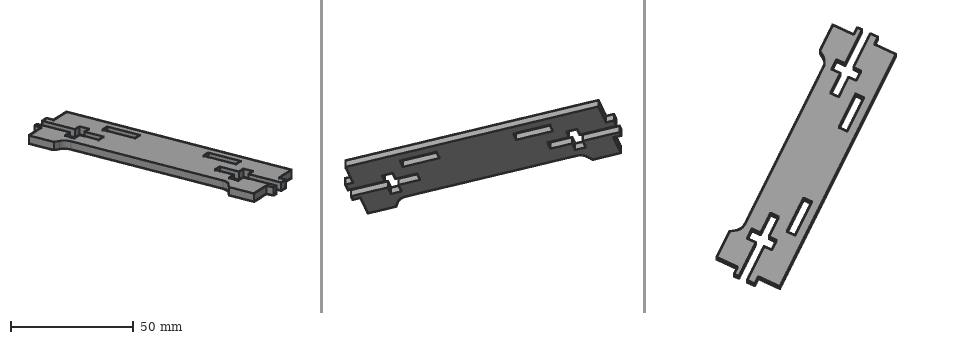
import cadquery as cq
import math

overall_length = 116.1
width = 28.7
thickness = 3.7
body_length = 109.3
top_y = width / 2
bottom_y = -width / 2

tab_top_y = top_y - 9.8
tab_height = 9.4

slot_width = thickness
slot_y = top_y - 15.1
slot_depth = 29.8
pocket_length = 4.5
pocket_height = 11.1
pocket_x = 39.8

window_length = 15.8
window_height = thickness
window_x = 24.5
window_y = top_y - 5.7

recess_depth = 4.3
recess_mouth_half = 42.5
flank_angle = 56.0
recess_radius = 5.0
recess_floor_half = recess_mouth_half - recess_depth / math.tan(math.radians(flank_angle))


def block(length, height, x, y):
    """Rectangular block through the full plate thickness, centred at x, y."""
    return cq.Workplane("XY").center(x, y).rect(length, height).extrude(thickness)


def lower_recess():
    """Trapezoidal cutter whose two upper corners are rounded."""
    floor_y = bottom_y + recess_depth
    return (
        cq.Workplane("XY")
        .polyline([
            (-recess_mouth_half, bottom_y),
            (-recess_floor_half, floor_y),
            (recess_floor_half, floor_y),
            (recess_mouth_half, bottom_y),
        ])
        .close()
        .extrude(thickness)
        .edges("|Z and >Y")
        .fillet(recess_radius)
    )


body = block(body_length, width, 0, 0)
tabs = block(overall_length, tab_height, 0, tab_top_y - tab_height / 2)
result = body.union(tabs).cut(lower_recess())

for side in (-1, 1):
    slot_x = side * (overall_length - slot_depth) / 2
    result = result.cut(block(slot_depth, slot_width, slot_x, slot_y))
    pocket_y = tab_top_y - pocket_height / 2
    result = result.cut(block(pocket_length, pocket_height, side * pocket_x, pocket_y))
    result = result.cut(block(window_length, window_height, side * window_x, window_y))